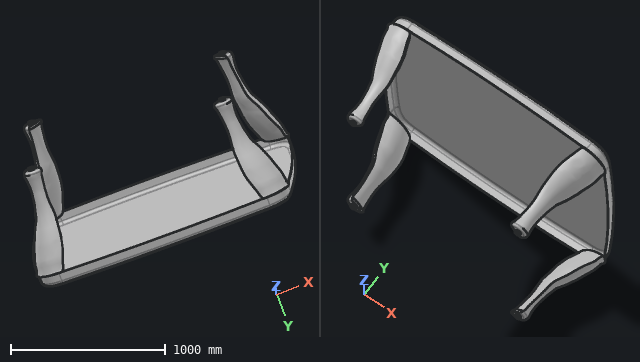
import cadquery as cq
import math


WIDTH_X = 1790.0
WIDTH_Z = 1790.0
SEAM_X = 716.0
SEAM_Z = 671.0
SIDE_BOW_X = 32.0
SIDE_BOW_Z = 40.0
RIM_DEPTH = 82.0
RIM_DRAFT = 3.0
SHELL = 5.0
RIM_ROUND = 29.0

LEG_ORIGIN_X = 777.0
LEG_ORIGIN_Z = 752.0
LEG_LEAN = 38.0
LEG_SECTIONS = [
    (RIM_DEPTH, 0.0, 138.0, 73.0, 60.0),
    (141.0, 29.0, 140.0, 85.0, 65.0),
    (205.0, 59.0, 140.0, 93.0, 65.0),
    (290.0, 93.0, 129.0, 95.0, 54.0),
    (367.0, 118.0, 110.0, 85.0, 40.0),
    (431.0, 141.0, 86.0, 72.0, 29.0),
    (508.0, 147.0, 68.0, 59.0, 20.0),
    (590.0, 154.0, 60.0, 54.0, 15.0),
    (687.0, 166.0, 65.0, 70.0, 13.0),
    (721.0, 177.0, 70.0, 80.0, 10.0),
]
FOOT_HEIGHT = 20.0
FOOT_ROUND = 16.0

GLIDE_RADIUS = 20.0
GLIDE_SHIFT = 152.0
TOTAL_DEPTH = 755.0

FOOT_DEPTH = LEG_SECTIONS[-1][0] + FOOT_HEIGHT


def plane_at_depth(depth):
    """Plane parallel to the table top, with local x = X and local y = Z, facing -Y."""
    return cq.Plane(origin=(0, -depth, 0), xDir=(1, 0, 0), normal=(0, -1, 0))


def bow_slope(half_length, bow):
    """Angle at the end of a circular arc with the given half chord and rise."""
    return 2 * math.atan2(bow, half_length)


def top_outline(depth, inset):
    """Outline of the table top at a depth, moved in from the open edge of the rim by an inset."""
    half_x = WIDTH_X / 2 - inset
    half_z = WIDTH_Z / 2 - inset
    end_x = half_x - SIDE_BOW_X
    end_z = half_z - SIDE_BOW_Z
    slope_x = bow_slope(SEAM_Z, SIDE_BOW_X)
    slope_z = bow_slope(SEAM_X, SIDE_BOW_Z)
    rise_x, rise_z = -math.sin(slope_x), math.cos(slope_x)
    run_x, run_z = -math.cos(slope_z), math.sin(slope_z)

    outline = cq.Workplane(plane_at_depth(depth)).moveTo(end_x, -SEAM_Z)
    outline = outline.threePointArc((half_x, 0), (end_x, SEAM_Z))
    outline = corner_curve(outline, (SEAM_X, end_z), (rise_x, rise_z), (run_x, run_z))
    outline = outline.threePointArc((0, half_z), (-SEAM_X, end_z))
    outline = corner_curve(outline, (-end_x, SEAM_Z), (run_x, -run_z), (rise_x, -rise_z))
    outline = outline.threePointArc((-half_x, 0), (-end_x, -SEAM_Z))
    outline = corner_curve(outline, (-SEAM_X, -end_z), (-rise_x, -rise_z), (-run_x, -run_z))
    outline = outline.threePointArc((0, -half_z), (SEAM_X, -end_z))
    outline = corner_curve(outline, (end_x, -SEAM_Z), (-run_x, run_z), (-rise_x, rise_z))
    return outline.close().val()


def corner_curve(outline, end, start_direction, end_direction):
    """Continue an outline with a smooth curve to a point, tangent at both of its ends."""
    return outline.spline([end], tangents=[start_direction, end_direction], includeCurrent=True)


def rounded_block(inset, top_depth, rounding):
    """Drafted block from the open edge of the rim up to a depth, with its upper edge rounded."""
    draft = (RIM_DEPTH - top_depth) * math.tan(math.radians(RIM_DRAFT))
    lower = top_outline(RIM_DEPTH, inset)
    upper = top_outline(top_depth, inset + draft)
    block = cq.Workplane(cq.Solid.makeLoft([lower, upper], True))
    return block.faces(">Y").edges().fillet(rounding)


def make_table_top():
    """Thin shell left between an outer and an inner rounded block."""
    outside = rounded_block(0, 0, RIM_ROUND)
    inside = rounded_block(SHELL, SHELL, RIM_ROUND - SHELL)
    return outside.cut(inside)


def leg_point(inward, across):
    """Point of the upper right leg: inward along its lean, across from crease to crease."""
    lean = math.radians(LEG_LEAN)
    x = LEG_ORIGIN_X - inward * math.cos(lean) + across * math.sin(lean)
    z = LEG_ORIGIN_Z - inward * math.sin(lean) - across * math.cos(lean)
    return x, z


def leg_section(depth, shift, half_width, outer_depth, inner_rise):
    """Section of the upper right leg: an outer arc and an inner arc meeting at two creases."""
    return (
        cq.Workplane(plane_at_depth(depth))
        .moveTo(*leg_point(shift, -half_width))
        .threePointArc(leg_point(shift - outer_depth, 0), leg_point(shift, half_width))
        .threePointArc(leg_point(shift + inner_rise, 0), leg_point(shift, -half_width))
        .close()
    )


def make_leg():
    """Upper right leg: a smooth loft ending in a short lip with a rounded outer bottom edge."""
    wires = [leg_section(*section).val() for section in LEG_SECTIONS]
    shaft = cq.Workplane(cq.Solid.makeLoft(wires))
    _, shift, _, outer_depth, _ = LEG_SECTIONS[-1]
    x, z = leg_point(shift - outer_depth, 0)
    outer_edge = cq.selectors.NearestToPointSelector((x, -FOOT_DEPTH, z))
    lip = leg_section(*LEG_SECTIONS[-1]).extrude(FOOT_HEIGHT)
    lip = lip.faces("<Y").edges(outer_edge).fillet(FOOT_ROUND)
    return shaft.union(lip)


def make_glide():
    """Round pad under the upper right foot."""
    return (
        cq.Workplane(plane_at_depth(FOOT_DEPTH))
        .center(*leg_point(GLIDE_SHIFT, 0))
        .circle(GLIDE_RADIUS)
        .extrude(TOTAL_DEPTH - FOOT_DEPTH)
    )


def four_corners(body):
    """The upper right body and its mirror images at the other three corners."""
    right_pair = [body, body.mirror("XY")]
    return right_pair + [copy.mirror("YZ") for copy in right_pair]


table_top = make_table_top()
legs = four_corners(make_leg())
glides = four_corners(make_glide())

bodies = [table_top, *legs, *glides]
result = cq.Compound.makeCompound([body.solids().val() for body in bodies])